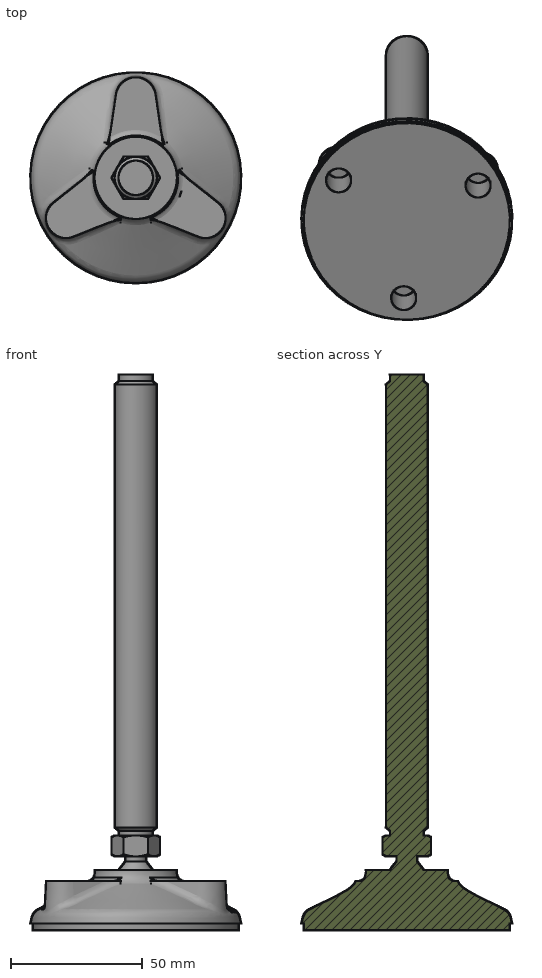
import cadquery as cq
import math

base_diameter = 80.0
foot_diameter = 78.2
foot_height = 2.5
cone_edge_diameter = 74.2
cone_edge_height = 8.0
cone_angle = 27.0
rim_radius = 4.6
rim_end_angle = 12.0

collar_diameter = 31.2
collar_top = 23.0
cone_skirt_radius = 5.5
lobe_skirt_radius = 3.0
skirt_sink = 0.05

lobe_count = 3
lobe_top = 18.8
lobe_bottom = 5.0
lobe_stock_top = 29.5
lobe_end_radius = 7.5
lobe_root_radius = 12.0
lobe_draft = 3.0
lobe_fillet = 3.2
edge_tolerance = 0.002

fixing_distance = 30.5
fixing_diameter = 9.5
fixing_skin = 0.5

ball_cone_diameter = 13.0
neck_diameter = 8.0
neck_bottom = 26.1
hex_sides = 6
hex_bottom = 28.0
hex_top = 36.0
hex_across_flats = 16.0
hex_chamfer_angle = 30.0
rod_diameter = 16.0
core_diameter = 13.0
rod_bottom = 37.7
rod_chamfer = 1.3
tip_bottom = 208.3
total_height = 210.8

cone_edge_radius = cone_edge_diameter / 2
cone_slope = math.tan(math.radians(cone_angle))


def polar(radius, degrees):
    """Offset of a point at the given radius and angle."""
    angle = math.radians(degrees)
    return radius * math.cos(angle), radius * math.sin(angle)


def cone_height(radius):
    """Height of the conical upper side at a distance from the axis."""
    return cone_edge_height + (cone_edge_radius - radius) * cone_slope


def revolve(profile):
    """Full turn of an XZ profile about the Z axis."""
    return profile.close().revolve(360, (0, 0), (0, 1))


def make_plate():
    """Plate whose rounded rim runs tangent into the conical upper side."""
    rim_start_angle = 90 - cone_angle
    edge_x, edge_z = polar(rim_radius, rim_start_angle)

    def rim_point(degrees):
        x, z = polar(rim_radius, degrees)
        return cone_edge_radius - edge_x + x, cone_edge_height - edge_z + z

    profile = (
        cq.Workplane("XZ")
        .lineTo(foot_diameter / 2, 0)
        .lineTo(foot_diameter / 2, foot_height)
        .lineTo(base_diameter / 2, foot_height)
        .lineTo(*rim_point(rim_end_angle))
        .threePointArc(rim_point((rim_start_angle + rim_end_angle) / 2), rim_point(rim_start_angle))
        .lineTo(0, cone_height(0))
    )
    return revolve(profile).rotate((0, 0, 0), (0, 0, 1), -90)


def lobe_outline():
    """Two round ends joined by tangent sides, the larger one on the axis."""
    lean = math.degrees(math.asin((lobe_root_radius - lobe_end_radius) / fixing_distance))
    root_x, root_y = polar(lobe_root_radius, lean)
    end_x, end_y = polar(lobe_end_radius, lean)
    return (
        cq.Workplane("XY", origin=(0, 0, lobe_top))
        .moveTo(-root_x, root_y)
        .lineTo(-end_x, fixing_distance + end_y)
        .threePointArc((0, fixing_distance + lobe_end_radius), (end_x, fixing_distance + end_y))
        .lineTo(root_x, root_y)
        .threePointArc((0, -lobe_root_radius), (-root_x, root_y))
        .close()
    )


def is_lobe_foot(edge):
    """True for the edges where the lobe wall meets the plate."""
    if edge.geomType() in ("LINE", "CIRCLE"):
        return False
    points = [edge.positionAt(t) for t in (0, 0.25, 0.5, 0.75, 1)]
    return all(lobe_bottom < p.z < cone_height(math.hypot(p.x, p.y)) + edge_tolerance for p in points)


def make_lobed_plate():
    """Plate with one filleted lobe, cut level at the lobe top."""
    below = lobe_outline().extrude(lobe_bottom - lobe_top, taper=-lobe_draft)
    above = lobe_outline().extrude(lobe_stock_top - lobe_top, taper=lobe_draft)
    body = make_plate().union(below).union(above)
    foot_edges = [edge for edge in body.edges().vals() if is_lobe_foot(edge)]
    body = body.newObject(foot_edges).fillet(lobe_fillet)
    return body.intersect(make_sector())


def make_sector():
    """Wedge about the axis that holds exactly one lobe."""
    half_angle = 180 / lobe_count
    x, y = polar(base_diameter, 90 - half_angle)
    return (
        cq.Workplane("XY")
        .lineTo(x, y)
        .threePointArc((0, base_diameter), (-x, y))
        .close()
        .extrude(lobe_top)
    )


def make_collar(skirt_radius, slope_angle, surface_height):
    """Collar with a concave skirt that blends its side into a surface.

    The surface slopes down outwards and would meet the collar side at surface_height.
    """
    radius = collar_diameter / 2
    sweep = 90 - slope_angle
    tangent_length = skirt_radius * math.tan(math.radians(sweep) / 2)
    skirt_top = surface_height + tangent_length - skirt_sink
    center_x = radius + skirt_radius
    mid_x, mid_z = polar(skirt_radius, 180 + sweep / 2)
    end_x, end_z = polar(skirt_radius, 180 + sweep)
    profile = (
        cq.Workplane("XZ")
        .moveTo(0, foot_height)
        .lineTo(center_x + end_x, foot_height)
        .lineTo(center_x + end_x, skirt_top + end_z)
        .threePointArc((center_x + mid_x, skirt_top + mid_z), (radius, skirt_top))
        .lineTo(radius, collar_top)
        .lineTo(0, collar_top)
    )
    return revolve(profile)


def make_lobe_skirt():
    """Part of the collar skirt that stands on the flat top of the +Y lobe."""
    above = lobe_outline().extrude(collar_top - lobe_top)
    below = lobe_outline().extrude(foot_height - lobe_top)
    return make_collar(lobe_skirt_radius, 0, lobe_top).intersect(above.union(below))


def make_fixing_hole():
    """Blind hole from below that leaves a thin break-out skin in the +Y lobe."""
    return (
        cq.Workplane("XY", origin=(0, fixing_distance, 0))
        .circle(fixing_diameter / 2)
        .extrude(lobe_top - fixing_skin)
    )


def make_hexagon():
    """Hexagon with corners on the X axis, chamfered at both ends."""
    corner_radius = hex_across_flats / 2 / math.cos(math.pi / hex_sides)
    flat_radius = hex_across_flats / 2
    drop = (corner_radius - flat_radius) * math.tan(math.radians(hex_chamfer_angle))
    prism = (
        cq.Workplane("XY", origin=(0, 0, hex_bottom))
        .polygon(hex_sides, 2 * corner_radius)
        .extrude(hex_top - hex_bottom)
    )
    envelope = (
        cq.Workplane("XZ")
        .moveTo(0, hex_bottom)
        .lineTo(flat_radius, hex_bottom)
        .lineTo(corner_radius, hex_bottom + drop)
        .lineTo(corner_radius, hex_top - drop)
        .lineTo(flat_radius, hex_top)
        .lineTo(0, hex_top)
    )
    return prism.intersect(revolve(envelope))


def make_spindle():
    """Ball cone, neck and rod as one turned shape, with the hexagon added."""
    profile = (
        cq.Workplane("XZ")
        .moveTo(0, foot_height)
        .lineTo(ball_cone_diameter / 2, foot_height)
        .lineTo(ball_cone_diameter / 2, collar_top)
        .lineTo(neck_diameter / 2, neck_bottom)
        .lineTo(neck_diameter / 2, hex_top)
        .lineTo(core_diameter / 2, hex_top)
        .lineTo(core_diameter / 2, rod_bottom)
        .lineTo(rod_diameter / 2, rod_bottom + rod_chamfer)
        .lineTo(rod_diameter / 2, tip_bottom - rod_chamfer)
        .lineTo(core_diameter / 2, tip_bottom)
        .lineTo(core_diameter / 2, total_height)
        .lineTo(0, total_height)
    )
    return revolve(profile).union(make_hexagon())


base_sector = make_lobed_plate().cut(make_fixing_hole())
lobe_skirt = make_lobe_skirt()
base = base_sector
core = make_collar(cone_skirt_radius, cone_angle, cone_height(collar_diameter / 2))
core = core.union(make_spindle()).union(lobe_skirt)
for index in range(1, lobe_count):
    turn = index * 360 / lobe_count
    base = base.union(base_sector.rotate((0, 0, 0), (0, 0, 1), turn))
    core = core.union(lobe_skirt.rotate((0, 0, 0), (0, 0, 1), turn))
result = base.union(core).solids()